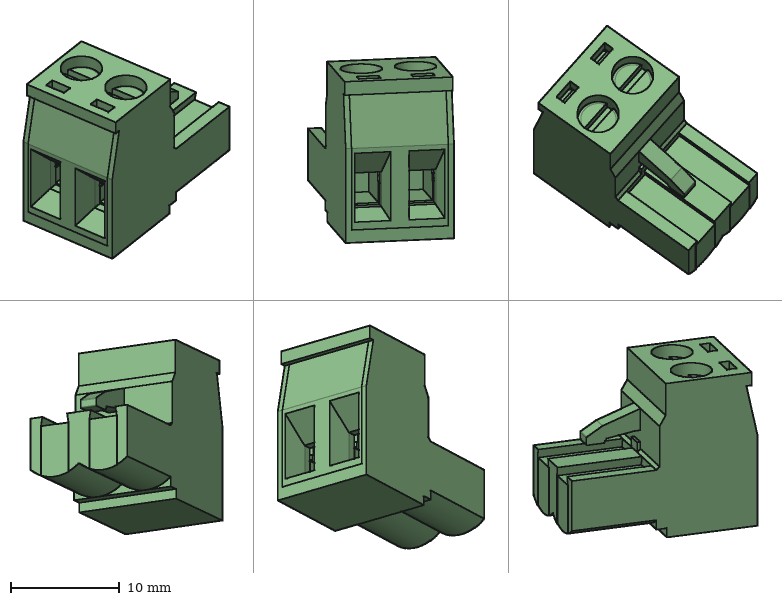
import cadquery as cq


WIDTH = 10.15
LENGTH = 18.2
HEIGHT = 15.1
POLE_PITCH = WIDTH / 2
POLE_CENTERS = (-POLE_PITCH / 2, POLE_PITCH / 2)

CAP_FRONT_Y = 0.55
CAP_BOTTOM_Z = 13.83
SLOPE_TOP_Y = 1.07
SLOPE_BOTTOM_Z = 8.94
TOP_BACK_Y = 9.0
BACK_SLOPE_TOP_Z = 12.0
BACK_SLOPE_BOTTOM_Z = 11.0
BACK_Y = 9.61
FOOT_BACK_Y = 8.88

PLUG_FRONT_Y = 9.92
PLUG_TOP_Z = 6.73
PLUG_BOTTOM_Z = 0.91
PLUG_CUSP_Z = 1.84
ROOT_CHAMFER = PLUG_FRONT_Y - BACK_Y
GROOVE_TOP_WIDTH = 2.58
GROOVE_FLOOR_WIDTH = 2.88
GROOVE_DEPTH = 0.85
GROOVE_END_RECESS = 0.064

LATCH_WIDTH = 1.65
LATCH_CENTER_X = 0.78
LATCH_TIP_Y = 14.92
LATCH_TIP_TOP_Z = 8.85
LATCH_TIP_BOTTOM_Z = 8.06
LATCH_KNEE_Y = 13.32
LATCH_KNEE_Z = 9.77
LATCH_HOOK_Y = 13.18
LATCH_NOTCH_Y = 12.92
LATCH_NOTCH_Z = 8.48
LATCH_ROOT_Y = 10.2
LATCH_ROOT_Z = 8.86
LATCH_TIP_FILLET = 0.1
STOP_TOP_Z = 7.7

INSERT_WIDTH = 9.06
INSERT_BOTTOM_Z = 1.22
INSERT_DEPTH = 3.28
FUNNEL_DEPTH = 2.44
FUNNEL_WIDTH = 3.35
FUNNEL_BOTTOM_Z = 1.95
FUNNEL_TOP_Z = 8.45
FUNNEL_END_WIDTH = 2.55
FUNNEL_END_BOTTOM_Z = 2.75
FUNNEL_END_TOP_Z = 6.02
TAB_SLOT_WIDTH = 2.04
TAB_WIDTH = 1.64
TAB_FRONT_Y = 1.47
TAB_CREST_Y = 1.95
TAB_BACK_Y = 2.44
TAB_TOP_Z = 14.27

CAGE_OUTER_WIDTH = 3.1
CAGE_INNER_WIDTH = 2.31
CAGE_BACK_Y = 7.83
CAGE_BOTTOM_Z = 2.4
CAGE_FLOOR_Z = 2.93
CAGE_CEILING_Z = 7.65
CAGE_TOP_Z = 8.74
CAGE_STEP = 0.18
CAGE_STEP_Z = 5.42
CAGE_RAMP_BOTTOM_Z = 4.75
CAGE_RELIEF = 0.1

CONTACT_BACK_Y = 8.55

SCREW_Y = 5.55
SCREW_HOLE_RADIUS = 1.91
SCREW_HEAD_RADIUS = 1.9
SCREW_HEAD_FILLET = 0.27
SCREW_HEAD_TOP_Z = 14.03
SCREW_HEAD_BOTTOM_Z = 12.55
SCREW_SLOT_WIDTH = 0.78
SCREW_SLOT_DEPTH = 0.91
SCREW_SHAFT_RADIUS = 0.91
SCREW_TIP_Z = 6.55


def box(width, x_center, y_range, z_range):
    """A box of the given width, centred in X and spanning the Y and Z ranges."""
    y_min, y_max = y_range
    z_min, z_max = z_range
    corner = (x_center - width / 2, y_min, z_min)
    return cq.Workplane().box(width, y_max - y_min, z_max - z_min, centered=False).translate(corner)


def side_extrusion(points, width, x_center=0):
    """A closed (Y, Z) outline extruded along X, centred on x_center."""
    outline = cq.Workplane("YZ").polyline(points).close()
    return outline.extrude(width / 2, both=True).translate((x_center, 0, 0))


def cylinder(radius, x_center, z_min, z_max):
    """A vertical cylinder on a screw axis."""
    disc = cq.Workplane().workplane(offset=z_min).center(x_center, SCREW_Y).circle(radius)
    return disc.extrude(z_max - z_min)




def housing_block():
    """Terminal body with the overhanging cap and the sloped front and back."""
    return side_extrusion(
        [
            (0, 0),
            (0, SLOPE_BOTTOM_Z),
            (SLOPE_TOP_Y, CAP_BOTTOM_Z),
            (CAP_FRONT_Y, CAP_BOTTOM_Z),
            (CAP_FRONT_Y, HEIGHT),
            (TOP_BACK_Y, HEIGHT),
            (TOP_BACK_Y, BACK_SLOPE_TOP_Z),
            (BACK_Y, BACK_SLOPE_BOTTOM_Z),
            (BACK_Y, PLUG_TOP_Z + ROOT_CHAMFER),
            (PLUG_FRONT_Y, PLUG_TOP_Z),
            (PLUG_FRONT_Y, PLUG_BOTTOM_Z),
            (FOOT_BACK_Y, PLUG_BOTTOM_Z),
            (FOOT_BACK_Y, 0),
        ],
        WIDTH,
    )


def plug():
    """Plug with one rounded lobe per pole underneath and a dovetail groove per pole on top."""
    half_width = WIDTH / 2
    left_pole, right_pole = POLE_CENTERS
    body = (
        cq.Workplane("XZ", origin=(0, PLUG_FRONT_Y, 0))
        .moveTo(-half_width, PLUG_TOP_Z)
        .lineTo(-half_width, PLUG_CUSP_Z)
        .threePointArc((left_pole, PLUG_BOTTOM_Z), (0, PLUG_CUSP_Z))
        .threePointArc((right_pole, PLUG_BOTTOM_Z), (half_width, PLUG_CUSP_Z))
        .lineTo(half_width, PLUG_TOP_Z)
        .close()
        .extrude(PLUG_FRONT_Y - LENGTH)
    )
    floor_z = PLUG_TOP_Z - GROOVE_DEPTH
    for x in POLE_CENTERS:
        groove = (
            cq.Workplane("XZ", origin=(x, PLUG_FRONT_Y, 0))
            .moveTo(-GROOVE_TOP_WIDTH / 2, PLUG_TOP_Z)
            .lineTo(-GROOVE_FLOOR_WIDTH / 2, floor_z)
            .lineTo(GROOVE_FLOOR_WIDTH / 2, floor_z)
            .lineTo(GROOVE_TOP_WIDTH / 2, PLUG_TOP_Z)
            .close()
            .extrude(PLUG_FRONT_Y - LENGTH)
        )
        end_recess = box(GROOVE_FLOOR_WIDTH, x, (LENGTH - GROOVE_END_RECESS, LENGTH), (0, floor_z))
        body = body.cut(groove).cut(end_recess)
    return body


def latch():
    """Latch arm reaching back over the plug, with a rounded tip."""
    arm = side_extrusion(
        [
            (BACK_Y, BACK_SLOPE_BOTTOM_Z),
            (LATCH_KNEE_Y, LATCH_KNEE_Z),
            (LATCH_TIP_Y, LATCH_TIP_TOP_Z),
            (LATCH_TIP_Y, LATCH_TIP_BOTTOM_Z),
            (LATCH_HOOK_Y, LATCH_TIP_BOTTOM_Z),
            (LATCH_NOTCH_Y, LATCH_NOTCH_Z),
            (LATCH_ROOT_Y, LATCH_ROOT_Z),
            (BACK_Y, LATCH_ROOT_Z),
        ],
        LATCH_WIDTH,
        LATCH_CENTER_X,
    )
    return arm.faces(">Y").edges("|X").fillet(LATCH_TIP_FILLET)


def make_housing():
    stop_block = box(LATCH_WIDTH, LATCH_CENTER_X, (BACK_Y, PLUG_FRONT_Y), (PLUG_TOP_Z, STOP_TOP_Z))
    body = housing_block().union(plug()).union(latch()).union(stop_block)
    body = body.cut(insert_block())
    for x in POLE_CENTERS:
        tab_slot = box(TAB_SLOT_WIDTH, x, (TAB_FRONT_Y, TAB_BACK_Y), (CAP_BOTTOM_Z, HEIGHT))
        clamp_chamber = box(CAGE_OUTER_WIDTH, x, (INSERT_DEPTH, CONTACT_BACK_Y), (CAGE_BOTTOM_Z, CAGE_TOP_Z))
        head_hole = cylinder(SCREW_HOLE_RADIUS, x, SCREW_HEAD_BOTTOM_Z, HEIGHT)
        shaft_hole = cylinder(SCREW_SHAFT_RADIUS, x, CAGE_TOP_Z, SCREW_HEAD_BOTTOM_Z)
        body = body.cut(tab_slot).cut(clamp_chamber).cut(head_hole).cut(shaft_hole)
    return body




def insert_block():
    """Insert without openings, its front flush with the housing front and slope."""
    return side_extrusion(
        [
            (0, INSERT_BOTTOM_Z),
            (0, SLOPE_BOTTOM_Z),
            (SLOPE_TOP_Y, CAP_BOTTOM_Z),
            (INSERT_DEPTH, CAP_BOTTOM_Z),
            (INSERT_DEPTH, INSERT_BOTTOM_Z),
        ],
        INSERT_WIDTH,
    )


def wire_entry(x):
    """Funnel narrowing from the front face, followed by a straight passage to the insert's back."""
    mouth_z = (FUNNEL_BOTTOM_Z + FUNNEL_TOP_Z) / 2
    end_z = (FUNNEL_END_BOTTOM_Z + FUNNEL_END_TOP_Z) / 2
    funnel = (
        cq.Workplane("XZ")
        .center(x, mouth_z)
        .rect(FUNNEL_WIDTH, FUNNEL_TOP_Z - FUNNEL_BOTTOM_Z)
        .workplane(offset=-FUNNEL_DEPTH)
        .center(0, end_z - mouth_z)
        .rect(FUNNEL_END_WIDTH, FUNNEL_END_TOP_Z - FUNNEL_END_BOTTOM_Z)
        .loft(ruled=True)
    )
    passage_z = (FUNNEL_END_BOTTOM_Z, FUNNEL_END_TOP_Z)
    return funnel.union(box(FUNNEL_END_WIDTH, x, (FUNNEL_DEPTH, INSERT_DEPTH), passage_z))


def snap_tab(x):
    """Wedge on top of the insert that snaps into the slot in the housing cap."""
    return side_extrusion(
        [
            (TAB_FRONT_Y, CAP_BOTTOM_Z),
            (TAB_CREST_Y, TAB_TOP_Z),
            (TAB_BACK_Y, TAB_TOP_Z),
            (TAB_BACK_Y, CAP_BOTTOM_Z),
        ],
        TAB_WIDTH,
        x,
    )


def make_insert():
    body = insert_block()
    for x in POLE_CENTERS:
        body = body.cut(wire_entry(x)).union(snap_tab(x))
    return body




def make_cage(x):
    """Clamp frame around the wire, with a stepped front edge and a threaded top plate."""
    ramp_top_z = CAGE_RAMP_BOTTOM_Z + CAGE_STEP
    frame = side_extrusion(
        [
            (INSERT_DEPTH, CAGE_BOTTOM_Z),
            (INSERT_DEPTH, CAGE_RAMP_BOTTOM_Z),
            (INSERT_DEPTH + CAGE_STEP, ramp_top_z),
            (INSERT_DEPTH + CAGE_STEP, CAGE_STEP_Z),
            (INSERT_DEPTH + 2 * CAGE_STEP, CAGE_STEP_Z),
            (INSERT_DEPTH + 2 * CAGE_STEP, CAGE_TOP_Z),
            (CAGE_BACK_Y, CAGE_TOP_Z),
            (CAGE_BACK_Y, CAGE_BOTTOM_Z),
        ],
        CAGE_OUTER_WIDTH,
        x,
    )
    y_range = (INSERT_DEPTH, CAGE_BACK_Y)
    window = box(CAGE_INNER_WIDTH, x, y_range, (CAGE_FLOOR_Z, CAGE_CEILING_Z))
    relief_x = x - CAGE_INNER_WIDTH / 2 - CAGE_RELIEF / 2
    relief = box(CAGE_RELIEF, relief_x, y_range, (CAGE_FLOOR_Z, CAGE_RAMP_BOTTOM_Z))
    shaft_hole = cylinder(SCREW_SHAFT_RADIUS, x, CAGE_CEILING_Z, CAGE_TOP_Z)
    return frame.cut(window).cut(relief).cut(shaft_hole)


def make_contact(x):
    """Contact block that closes the clamp cage from behind."""
    return box(CAGE_OUTER_WIDTH, x, (CAGE_BACK_Y, CONTACT_BACK_Y), (CAGE_BOTTOM_Z, CAGE_TOP_Z))


def make_screw(x):
    """Slotted screw with a rounded head rim."""
    head = cylinder(SCREW_HEAD_RADIUS, x, SCREW_HEAD_BOTTOM_Z, SCREW_HEAD_TOP_Z)
    head = head.faces(">Z").edges().fillet(SCREW_HEAD_FILLET)
    shaft = cylinder(SCREW_SHAFT_RADIUS, x, SCREW_TIP_Z, SCREW_HEAD_BOTTOM_Z)
    slot = box(
        2 * SCREW_HEAD_RADIUS,
        x,
        (SCREW_Y - SCREW_SLOT_WIDTH / 2, SCREW_Y + SCREW_SLOT_WIDTH / 2),
        (SCREW_HEAD_TOP_Z - SCREW_SLOT_DEPTH, SCREW_HEAD_TOP_Z),
    )
    return head.union(shaft).cut(slot)


housing = make_housing()
insert = make_insert()
cages = [make_cage(x).val() for x in POLE_CENTERS]
contacts = [make_contact(x).val() for x in POLE_CENTERS]
screws = [make_screw(x).val() for x in POLE_CENTERS]

result = cq.Compound.makeCompound([housing.val(), insert.val(), *cages, *contacts, *screws])